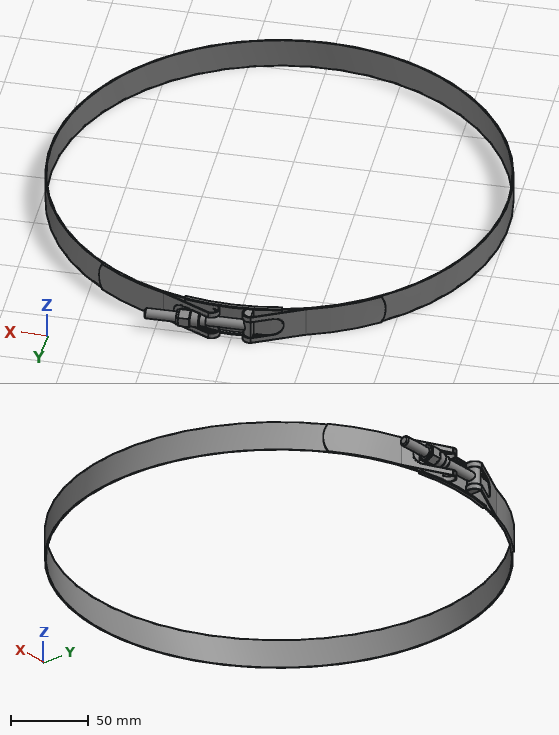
import cadquery as cq
import math

total_length = 310.8
ring_radius = 150.6
band_width = 20.0
band_thickness = 0.87

loop_angle = 4.8
strap_bend_x = 13.83
strap_foot_x = 46.5
tab_end_angle = 38.4
tab_end_radius = 17.5
slot_width = 12.5
slot_lower_x = 11.8
head_slot_end_x = 33.5
nut_slot_end_x = 39.2

bridge_half_length = 31.7
bridge_width = 22.0
bridge_thickness = 0.47
lip_height = 2.5

bolt_radius = 3.5
bolt_end_x = 56.5
bolt_chamfer = 1.0
spacer_start_x = 16.2
spacer_radius = 4.2
collar_start_x = 20.2
collar_radius = 5.3
collar_chamfer = 0.5
nut_start_x = 26.7
nut_across_flats = 11.0
nut_hex_length = 7.0
nut_collar_radius = 5.0
nut_end_x = 35.5

ring_inner_radius = ring_radius - band_thickness
tab_radius = ring_radius + band_thickness
top_y = total_length - ring_radius
strap_top_y = top_y - band_thickness
loop_cos = math.cos(math.radians(loop_angle))
loop_radius = (strap_top_y - ring_radius * loop_cos) / (1 + loop_cos)
loop_outer_radius = loop_radius + band_thickness
loop_x = (ring_radius + loop_radius) * math.sin(math.radians(loop_angle))
loop_y = (ring_radius + loop_radius) * loop_cos
bridge_inner_radius = ring_inner_radius - bridge_thickness


def slab(width):
    """XY workplane at the bottom of a part of this width, centred on Z = 0."""
    return cq.Workplane("XY", origin=(0, 0, -width / 2))


def annulus(outer_radius, inner_radius, width):
    return slab(width).circle(outer_radius).circle(inner_radius).extrude(width)


def x_cylinder(radius, start_x, end_x):
    """Round bar on the bolt axis."""
    return cq.Workplane("YZ", origin=(start_x, loop_y, 0)).circle(radius).extrude(end_x - start_x)


def on_circle(radius, angle):
    """Point on the -X side of the ring, at an angle in degrees from +Y."""
    return (-radius * math.sin(math.radians(angle)), radius * math.cos(math.radians(angle)))


def folded_strap():
    """End of the band on the -X side: round the loop, down to the ring and along it."""
    half_loop = (
        slab(band_width)
        .moveTo(*on_circle(ring_inner_radius, loop_angle))
        .threePointArc((-loop_x + loop_outer_radius, loop_y), (-loop_x, top_y))
        .lineTo(-loop_x, strap_top_y)
        .threePointArc((-loop_x + loop_radius, loop_y), on_circle(ring_radius, loop_angle))
        .close()
        .extrude(band_width)
    )
    foot_angle = math.degrees(math.asin(strap_foot_x / tab_radius))
    middle_angle = (foot_angle + tab_end_angle) / 2
    strap = (
        slab(band_width)
        .moveTo(-loop_x, top_y)
        .lineTo(-strap_bend_x, top_y)
        .lineTo(*on_circle(tab_radius, foot_angle))
        .threePointArc(on_circle(tab_radius, middle_angle), on_circle(tab_radius, tab_end_angle))
        .lineTo(*on_circle(ring_radius, tab_end_angle))
        .threePointArc(on_circle(ring_radius, middle_angle), on_circle(ring_radius, foot_angle))
        .lineTo(-strap_bend_x, strap_top_y)
        .lineTo(-loop_x, strap_top_y)
        .close()
        .extrude(band_width)
    )
    return half_loop.union(strap.cut(tab_end_waste()))


def tab_end_waste():
    """Material outside the rounded end of the tab, cut square to the ring."""
    end_block = cq.Workplane("XY").box(tab_end_radius, tab_end_radius, band_width)
    rounding = (
        cq.Workplane("XZ", origin=(tab_end_radius / 2, 0, 0))
        .circle(tab_end_radius)
        .extrude(tab_end_radius, both=True)
    )
    waste = end_block.cut(rounding).translate((tab_end_radius / 2, ring_radius, 0))
    return waste.rotate((0, 0, 0), (0, 0, 1), tab_end_angle)


def bolt_slot(end_x):
    """Cutter on the -X side: through the loop nose and along the strap to a round end."""
    nose_depth = 4 * loop_outer_radius
    nose = cq.Workplane("XY").box(slot_lower_x, nose_depth, slot_width)
    nose = nose.translate((-slot_lower_x / 2, loop_y, 0))
    profile = (
        cq.Workplane("XZ", origin=(-end_x / 2, top_y, 0))
        .slot2D(end_x, slot_width)
        .extrude(top_y - ring_inner_radius + loop_outer_radius)
    )
    above_ring = profile.cut(slab(band_width).circle(ring_radius).extrude(band_width))
    return nose.union(above_ring)


def make_band():
    corner_x, corner_y = on_circle(2 * ring_radius, loop_angle)
    gap = slab(band_width).polyline([(0, 0), (corner_x, corner_y), (-corner_x, corner_y)]).close()
    ring = annulus(ring_radius, ring_inner_radius, band_width).cut(gap.extrude(band_width))
    head_end = folded_strap().cut(bolt_slot(head_slot_end_x))
    nut_end = folded_strap().cut(bolt_slot(nut_slot_end_x)).mirror("YZ")
    return ring.union(head_end).union(nut_end)


def make_bridge():
    base = annulus(ring_inner_radius, bridge_inner_radius, bridge_width)
    lips = annulus(bridge_inner_radius + lip_height, bridge_inner_radius, bridge_width)
    lips = lips.cut(slab(band_width).circle(total_length).extrude(band_width))
    span = slab(bridge_width).rect(2 * bridge_half_length, total_length, centered=(True, False))
    return base.union(lips).intersect(span.extrude(bridge_width))


def make_bolt():
    """D-shaped head filling the loop on the -X side, with the shank on its round side."""
    contact_x, contact_y = on_circle(ring_radius, loop_angle)
    head = (
        slab(band_width)
        .moveTo(-strap_bend_x, contact_y)
        .lineTo(contact_x, contact_y)
        .threePointArc((-loop_x + loop_radius, loop_y), (-loop_x, strap_top_y))
        .lineTo(-strap_bend_x, strap_top_y)
        .close()
        .extrude(band_width)
    )
    shank = x_cylinder(bolt_radius, -loop_x, bolt_end_x).faces(">X").chamfer(bolt_chamfer)
    return head.union(shank)


def make_spacer():
    bore = x_cylinder(bolt_radius, spacer_start_x, collar_start_x)
    return x_cylinder(spacer_radius, spacer_start_x, collar_start_x).cut(bore)


def make_collar():
    bore = x_cylinder(bolt_radius, collar_start_x, nut_start_x)
    collar = x_cylinder(collar_radius, collar_start_x, nut_start_x)
    return collar.edges("%CIRCLE").chamfer(collar_chamfer).cut(bore)


def make_nut():
    """Lock nut: a hexagon with a corner up, and a round collar at its outer end."""
    across_corners = nut_across_flats / math.cos(math.pi / 6)
    hexagon = (
        cq.Workplane("YZ", origin=(nut_start_x, loop_y, 0))
        .transformed(rotate=(0, 0, 90))
        .polygon(6, across_corners)
        .extrude(nut_hex_length)
    )
    nut_collar = x_cylinder(nut_collar_radius, nut_start_x, nut_end_x)
    return hexagon.union(nut_collar).cut(x_cylinder(bolt_radius, nut_start_x, nut_end_x))


band = make_band()
bridge = make_bridge()
bolt = make_bolt()
spacer = make_spacer()
collar = make_collar()
nut = make_nut()

bodies = [band, bridge, bolt, spacer, collar, nut]
result = cq.Compound.makeCompound([body.solids().val() for body in bodies])